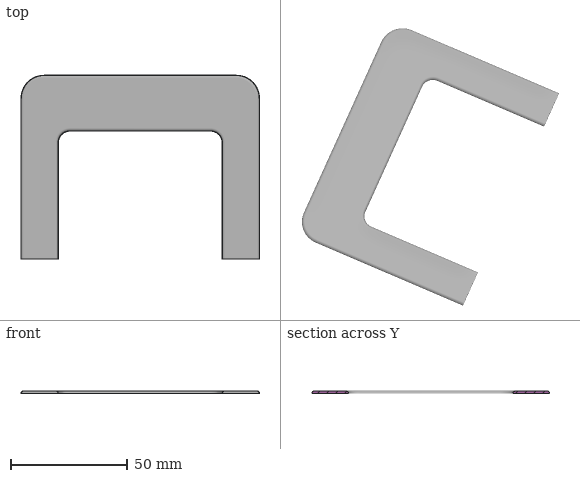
import cadquery as cq

WIDTH = 102.4
DEPTH = 79.0
THICKNESS = 1.2

LEG_WIDTH = 16.0
CROSSBAR_WIDTH = 24.0

OUTER_CORNER_RADIUS = 10.0
INNER_CORNER_RADIUS = 5.0

EDGE_RADIUS = THICKNESS

OPENING_WIDTH = WIDTH - 2 * LEG_WIDTH
OPENING_DEPTH = DEPTH - CROSSBAR_WIDTH


def arch_block(width, depth, height, corner_radius):
    """Block standing on Y = 0, centred in X and Z, with its two +Y corners rounded."""
    return (
        cq.Workplane("XY")
        .box(width, depth, height, centered=(True, False, True))
        .edges("|Z and >Y")
        .fillet(corner_radius)
    )


def make_frame():
    """U-shaped plate whose edges, except at the leg ends, are quarter rounds."""
    height = 2 * THICKNESS
    outer = arch_block(WIDTH, DEPTH, height, OUTER_CORNER_RADIUS)
    opening = arch_block(OPENING_WIDTH, OPENING_DEPTH, height, INNER_CORNER_RADIUS)
    blank = outer.cut(opening)
    rounded = blank.faces(">Z").edges("not <Y").fillet(EDGE_RADIUS)

    lower_half = cq.Workplane("XY").box(WIDTH, DEPTH, THICKNESS, centered=(True, False, False))
    return rounded.cut(lower_half.translate((0, 0, -THICKNESS)))


result = make_frame()